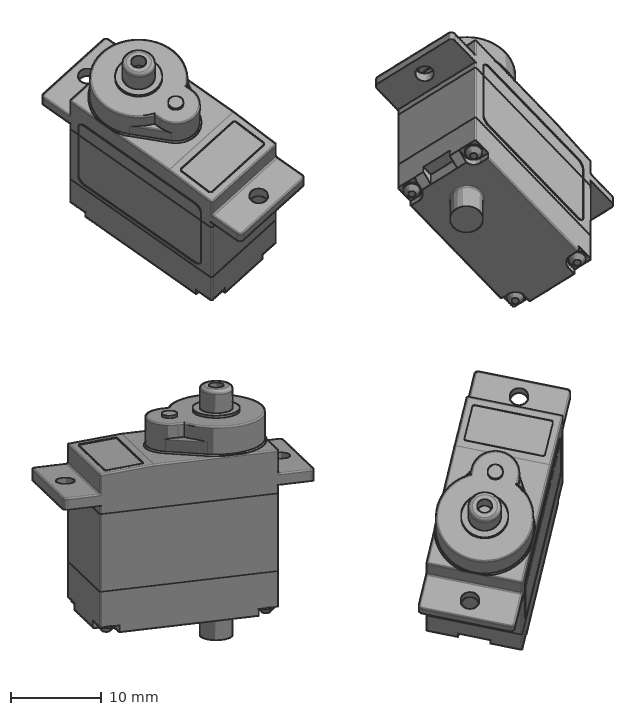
import cadquery as cq
import math

case_length = 20.82
case_width = 10.82
case_top = 19.18
cover_top = 5.03
shell_top = 14.1
edge_round = 0.18
half_length = case_length / 2
half_width = case_width / 2

slope_start = 4.12
slope_drop = 0.45
recess_start = 5.0
recess_length = 4.5
recess_width = 9.05
recess_corner = 0.25
recess_depth = 0.12

ear_span = 29.25
ear_bottom = 15.05
ear_top = 16.43
ear_corner = 0.47
ear_hole_spacing = 25.1
ear_hole_diameter = 2.05

shaft_x = -5.03
idler_x = 0.4
shaft_lobe_radius = 5.38
idler_lobe_radius = 2.65
gear_top = 22.6
web_top = 20.95
boss_height = 0.3
shaft_boss_radius = 2.6
idler_boss_radius = 0.85
boss_top = gear_top + boss_height

shaft_radius = 1.8
shaft_top = 25.53
shaft_tip_round = 0.45
shaft_bore_radius = 0.82
shaft_bore_depth = 1.75

pivot_length = 3.6
pivot_root_round = 0.15

pocket_size = 2.3
pocket_depth = 0.88
pocket_corner = 1.17
screw_inset = 1.1
screw_head_radius = 0.96
screw_rim_height = 0.25
screw_tip_radius = 0.4

bevel_run = 1.35
outlet_width = 3.65
outlet_height = 1.78

label_length = 17.95
label_bottom = 5.82
label_top = 16.55
label_x = -0.1
label_corner = 0.96
label_thickness = 0.1


def case_slice(bottom, top):
    """Block of the case between two heights, with rounded upright edges."""
    block = cq.Workplane("XY").box(case_length, case_width, top - bottom, centered=(True, True, False))
    return block.edges("|Z").fillet(edge_round).translate((0, 0, bottom))


def layer_selector(bottom, top, half_span):
    """Selects what is centred between two heights, within half_span of the middle along X."""
    margin = 0.03
    return cq.selectors.BoxSelector(
        (-half_span - margin, -case_width, bottom - margin),
        (half_span + margin, case_width, top + margin),
    )


def eared_block():
    """Upper end of the case from the underside of the ears up, with its edges rounded."""
    slope_end = case_top - slope_drop
    block = (
        cq.Workplane("XZ")
        .moveTo(-half_length, ear_bottom)
        .lineTo(half_length, ear_bottom)
        .lineTo(half_length, slope_end)
        .lineTo(slope_start, case_top)
        .lineTo(-half_length, case_top)
        .close()
        .extrude(half_width, both=True)
    )
    ears = (
        cq.Workplane("XY", origin=(0, 0, ear_bottom))
        .rect(ear_span, case_width)
        .extrude(ear_top - ear_bottom)
        .edges("|Z")
        .fillet(ear_corner)
    )
    block = block.union(ears)
    ear_roots = layer_selector(ear_top, ear_top, half_length)
    block = block.edges("|Y").edges(ear_roots).fillet(edge_round)
    upper_rim = block.faces("<Y or >Y").edges(layer_selector(ear_top, case_top, ear_span))
    top_ends = block.faces(layer_selector(slope_end, case_top, half_length)).edges("<X or >X")
    return block.newObject(upper_rim.vals() + top_ends.vals()).fillet(edge_round)


def lobe(x, radius, top):
    """Upright cylinder of the gear housing, standing on the case top."""
    return cq.Workplane("XY", origin=(x, 0, case_top)).circle(radius).extrude(top - case_top)


def lobe_outline(growth):
    """Outline around both lobes: two arcs joined by straight lines that touch them."""
    big = shaft_lobe_radius + growth
    small = idler_lobe_radius + growth
    touch = math.acos((big - small) / (idler_x - shaft_x))
    big_x = shaft_x + big * math.cos(touch)
    big_y = big * math.sin(touch)
    small_x = idler_x + small * math.cos(touch)
    small_y = small * math.sin(touch)
    return (
        cq.Workplane("XY", origin=(0, 0, case_top))
        .moveTo(big_x, big_y)
        .threePointArc((shaft_x - big, 0), (big_x, -big_y))
        .lineTo(small_x, -small_y)
        .threePointArc((idler_x + small, 0), (small_x, small_y))
        .close()
    )


def gear_housing():
    """Round housing over the gears, the webs beside its waist, its foot and its two bosses."""
    neck = (
        cq.Workplane("XY", origin=(0, 0, case_top))
        .rect(idler_x - shaft_x, 2 * idler_lobe_radius)
        .extrude(gear_top - case_top)
        .translate(((idler_x + shaft_x) / 2, 0, 0))
    )
    housing = (
        lobe(shaft_x, shaft_lobe_radius, gear_top)
        .union(lobe(idler_x, idler_lobe_radius, gear_top))
        .union(neck)
        .faces(">Z")
        .edges()
        .fillet(edge_round)
    )
    web = lobe_outline(0).extrude(web_top - case_top).faces(">Z").edges().fillet(edge_round)
    foot = lobe_outline(edge_round).extrude(edge_round, taper=45)
    foot = foot.intersect(case_slice(shell_top, gear_top))
    housing = housing.union(web).union(foot)
    for x, radius in ((shaft_x, shaft_boss_radius), (idler_x, idler_boss_radius)):
        housing = housing.union(lobe(x, radius, boss_top))
    return housing


def slope_recess():
    """Shallow rectangular pocket sunk square to the sloping end of the case top."""
    slope_angle = math.degrees(math.atan(slope_drop / (half_length - slope_start)))
    return (
        cq.Workplane("XY")
        .box(recess_length, recess_width, 2 * recess_depth)
        .edges("|Z")
        .fillet(recess_corner)
        .translate((recess_start + recess_length / 2 - slope_start, 0, 0))
        .rotate((0, 0, 0), (0, 1, 0), slope_angle)
        .translate((slope_start, 0, case_top))
    )


def make_top_case():
    """Top case with its gear housing, ears, ear holes and slope recess."""
    holes = (
        cq.Workplane("XY", origin=(0, 0, ear_bottom))
        .rarray(ear_hole_spacing, 0.3, 2, 1)
        .circle(ear_hole_diameter / 2)
        .extrude(ear_top - ear_bottom)
    )
    case = case_slice(shell_top, ear_bottom).union(eared_block())
    return case.union(gear_housing()).cut(slope_recess()).cut(holes)


def make_middle_shell():
    """Plain middle section of the case."""
    return case_slice(cover_top, shell_top)


def corner_points(inset):
    """Points at a distance inside both walls of each bottom corner of the case."""
    x = half_length - inset
    y = half_width - inset
    return [(-x, -y), (x, -y), (x, y), (-x, y)]


def screw_pockets():
    """Corner notches for the screws, rounded on the inner corner around each screw."""
    pockets = cq.Workplane("XY")
    for x, y in corner_points(0):
        inner_x = x - math.copysign(pocket_size, x)
        inner_y = y - math.copysign(pocket_size, y)
        inner_corner = cq.selectors.NearestToPointSelector((inner_x, inner_y, pocket_depth / 2))
        pocket = (
            cq.Workplane("XY")
            .rect(2 * pocket_size, 2 * pocket_size)
            .extrude(pocket_depth)
            .translate((x, y, 0))
            .edges(inner_corner)
            .fillet(pocket_corner)
        )
        pockets = pockets.union(pocket)
    return pockets


def cable_outlet():
    """Bevel along the bottom of the -X end and the slot that the cable leaves through."""
    bevel = (
        cq.Workplane("XZ")
        .moveTo(-half_length, 0)
        .lineTo(-half_length, pocket_depth)
        .lineTo(-half_length + bevel_run, 0)
        .close()
        .extrude(half_width, both=True)
    )
    slot = (
        cq.Workplane("XY")
        .box(bevel_run, outlet_width, outlet_height, centered=(False, True, False))
        .translate((-half_length, 0, 0))
    )
    return bevel.union(slot)


def make_bottom_cover():
    """Bottom cover with screw pockets, cable outlet and the pivot stub."""
    cover = case_slice(0, cover_top).faces("<Z").edges().fillet(edge_round)
    cover = cover.cut(screw_pockets()).cut(cable_outlet())
    root_radius = shaft_radius + pivot_root_round
    pivot = (
        cq.Workplane("XZ", origin=(shaft_x, 0, 0))
        .moveTo(0, 0)
        .lineTo(root_radius, 0)
        .radiusArc((shaft_radius, -pivot_root_round), -pivot_root_round)
        .lineTo(shaft_radius, -pivot_length)
        .lineTo(0, -pivot_length)
        .close()
        .revolve(360, (0, 0, 0), (0, 1, 0))
    )
    return cover.union(pivot)


def make_output_shaft():
    """Shaft standing on its boss, with a rounded tip and a blind screw bore."""
    shaft = (
        cq.Workplane("XY", origin=(shaft_x, 0, boss_top))
        .circle(shaft_radius)
        .extrude(shaft_top - boss_top)
        .faces(">Z")
        .edges()
        .fillet(shaft_tip_round)
    )
    bore = (
        cq.Workplane("XY", origin=(shaft_x, 0, shaft_top - shaft_bore_depth))
        .circle(shaft_bore_radius)
        .extrude(shaft_bore_depth)
    )
    return shaft.cut(bore)


def make_screw(x, y):
    """Screw head seated on the pocket ceiling: a short rim, then a cone to a flat tip."""
    rim_z = pocket_depth - screw_rim_height
    return (
        cq.Workplane("XZ", origin=(x, y, 0))
        .moveTo(0, 0)
        .lineTo(screw_tip_radius, 0)
        .lineTo(screw_head_radius, rim_z)
        .lineTo(screw_head_radius, pocket_depth)
        .lineTo(0, pocket_depth)
        .close()
        .revolve(360, (0, 0, 0), (0, 1, 0))
    )


def make_label():
    """Thin plate with rounded corners on the -Y face of the case."""
    return (
        cq.Workplane("XZ", origin=(label_x, -half_width, (label_bottom + label_top) / 2))
        .rect(label_length, label_top - label_bottom)
        .extrude(label_thickness)
        .edges("|Y")
        .fillet(label_corner)
    )


top_case = make_top_case()
middle_shell = make_middle_shell()
bottom_cover = make_bottom_cover()
output_shaft = make_output_shaft()
label = make_label()
screws = [make_screw(x, y).val() for x, y in corner_points(screw_inset)]

result = cq.Compound.makeCompound(
    [
        top_case.val(),
        middle_shell.val(),
        bottom_cover.val(),
        output_shaft.val(),
        label.val(),
        *screws,
    ]
)